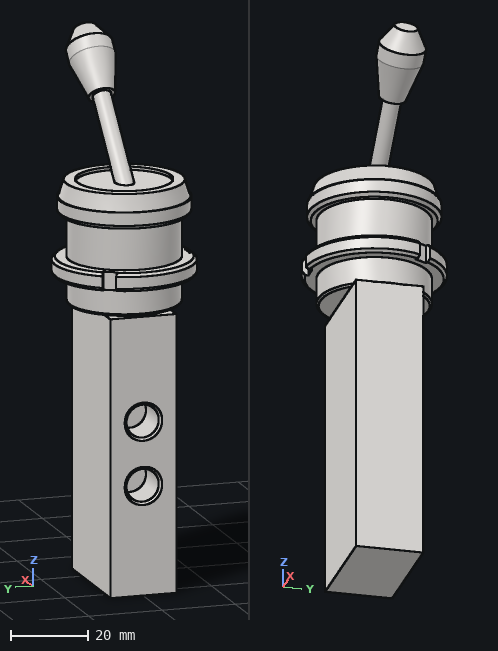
import cadquery as cq
import math

block_length = 32.2
block_width = 18.1
block_height = 74.8
port_diameter = 8.8
port_mouth_diameter = 10.2
port_depth = 11.4
port_heights = (29.5, 46.7)

barrel_radius = 30.0 / 2
barrel_chamfer = 0.5

ring_radius = 37.9 / 2
ring_bottom = 82.4
ring_top = 87.2
ring_chamfer = 0.9
notch_count = 3
notch_width = 3.7
notch_floor_radius = 17.2

head_radius = 35.0 / 2
head_bottom = 98.8
head_chamfer = 1.0
head_shoulder = 103.3
head_shoulder_ledge = 0.3
head_top = 107.9
head_top_radius = 15.8
recess_radius = 25.5 / 2
recess_depth = 0.9
recess_floor = head_top - recess_depth

lever_tilt = 45.0
rod_radius = 5.0 / 2
knob_radius = 12.5 / 2
knob_base_radius = 3.5
knob_tip_radius = 3.1
knob_length = 20.3
knob_taper_length = 11.1
knob_nose_length = 5.3
overall_height = 142.3
tilt_angle = math.radians(lever_tilt)
tip_height = overall_height - recess_floor - knob_tip_radius * math.sin(tilt_angle)
lever_length = tip_height / math.cos(tilt_angle)


def make_valve_block():
    """Rectangular block with two chamfered blind ports in its -X side."""
    block = cq.Workplane("XY").box(
        block_length, block_width, block_height, centered=(True, True, False)
    )
    port_radius = port_diameter / 2
    mouth_radius = port_mouth_diameter / 2
    mouth_depth = mouth_radius - port_radius
    for height in port_heights:
        port = (
            cq.Workplane("XZ")
            .polyline([
                (0, 0),
                (0, mouth_radius),
                (mouth_depth, port_radius),
                (port_depth, port_radius),
                (port_depth, 0),
            ])
            .close()
            .revolve(360, (0, 0, 0), (1, 0, 0))
            .translate((-block_length / 2, 0, height))
        )
        block = block.cut(port)
    return block


def make_barrel():
    """Round barrel from the block top up into the head."""
    barrel = cq.Workplane("XY", origin=(0, 0, block_height)).circle(barrel_radius)
    return barrel.extrude(head_bottom - block_height).faces("<Z").chamfer(barrel_chamfer)


def make_ring():
    """Chamfered ring with evenly spaced notches, one of them facing -Y."""
    ring = (
        cq.Workplane("XY", origin=(0, 0, ring_bottom))
        .circle(ring_radius)
        .extrude(ring_top - ring_bottom)
        .edges()
        .chamfer(ring_chamfer)
    )
    for index in range(notch_count):
        notch = (
            cq.Workplane("XY", origin=(0, 0, ring_bottom))
            .center(0, -ring_radius - notch_floor_radius)
            .rect(notch_width, 2 * ring_radius)
            .extrude(ring_top - ring_bottom)
            .rotate((0, 0, 0), (0, 0, 1), index * 360 / notch_count)
        )
        ring = ring.cut(notch)
    return ring


def make_head():
    """Tapered cap with a shallow round recess in its top."""
    return (
        cq.Workplane("XZ")
        .polyline([
            (0, head_bottom),
            (head_radius - head_chamfer, head_bottom),
            (head_radius, head_bottom + head_chamfer),
            (head_radius, head_shoulder),
            (head_radius - head_shoulder_ledge, head_shoulder),
            (head_top_radius, head_top),
            (recess_radius, head_top),
            (recess_radius, recess_floor),
            (0, recess_floor),
        ])
        .close()
        .revolve(360, (0, 0, 0), (0, 1, 0))
    )


def make_lever():
    """Rod and tapered knob, tilted about the centre of the recess floor."""
    knob_start = lever_length - knob_length
    rod_start = -2 * rod_radius
    return (
        cq.Workplane("XZ")
        .polyline([
            (0, rod_start),
            (rod_radius, rod_start),
            (rod_radius, knob_start),
            (knob_base_radius, knob_start),
            (knob_radius, knob_start + knob_taper_length),
            (knob_radius, lever_length - knob_nose_length),
            (knob_tip_radius, lever_length),
            (0, lever_length),
        ])
        .close()
        .revolve(360, (0, 0, 0), (0, 1, 0))
        .rotate((0, 0, 0), (0, 1, 0), lever_tilt)
        .translate((0, 0, recess_floor))
    )


def make_actuator():
    """Barrel, ring, head and lever as one solid."""
    return make_barrel().union(make_ring()).union(make_head()).union(make_lever())


valve_block = make_valve_block()
actuator = make_actuator()

result = cq.Compound.makeCompound([valve_block.val(), actuator.val()])